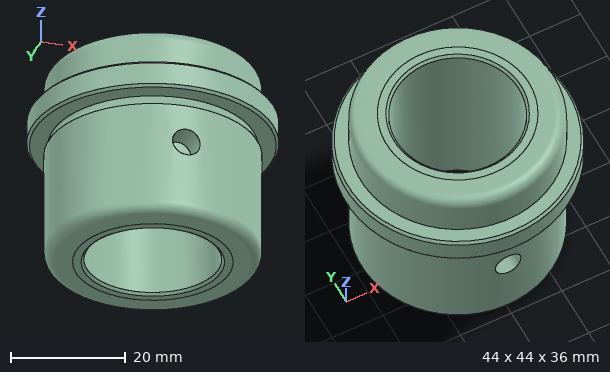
import cadquery as cq

total_height = 36.0
body_radius = 19.0
edge_radius = 2.0
flange_radius = 22.0
flange_bottom = 23.0
flange_thickness = 5.0
flange_top = flange_bottom + flange_thickness
flange_chamfer = 0.5

undercut_height = 1.9
undercut_depth = 0.7
undercut_radius = (undercut_height ** 2 + undercut_depth ** 2) / (2 * undercut_depth)

liner_outer_radius = 14.0
bore_radius = 12.0
bore_chamfer = 0.5

oil_hole_diameter = 5.0
oil_hole_height = 14.0


def make_housing_blank():
    """Revolve the outer profile, with its rounded ends, around Z."""
    corner_offset = edge_radius * (1 - 0.5 ** 0.5)
    end_radius = body_radius - edge_radius
    profile = (
        cq.Workplane("XZ")
        .moveTo(liner_outer_radius, 0)
        .lineTo(end_radius, 0)
        .threePointArc((body_radius - corner_offset, corner_offset), (body_radius, edge_radius))
        .lineTo(body_radius, flange_bottom - undercut_height)
        .radiusArc((body_radius - undercut_depth, flange_bottom), undercut_radius)
        .lineTo(flange_radius - flange_chamfer, flange_bottom)
        .lineTo(flange_radius, flange_bottom + flange_chamfer)
        .lineTo(flange_radius, flange_top - flange_chamfer)
        .lineTo(flange_radius - flange_chamfer, flange_top)
        .lineTo(body_radius, flange_top)
        .lineTo(body_radius, total_height - edge_radius)
        .threePointArc(
            (body_radius - corner_offset, total_height - corner_offset),
            (end_radius, total_height),
        )
        .lineTo(liner_outer_radius, total_height)
        .close()
    )
    return profile.revolve(360, (0, 0, 0), (0, 1, 0))


def make_oil_hole():
    """Cylinder from the axis out through the -Y side of the housing."""
    return (
        cq.Workplane("XZ")
        .center(0, oil_hole_height)
        .circle(oil_hole_diameter / 2)
        .extrude(flange_radius)
    )


def make_housing():
    return make_housing_blank().cut(make_oil_hole())


def make_liner():
    """Full-height bushing with both bore edges chamfered."""
    return (
        cq.Workplane("XY")
        .circle(liner_outer_radius)
        .circle(bore_radius)
        .extrude(total_height)
        .edges(cq.selectors.RadiusNthSelector(0))
        .chamfer(bore_chamfer)
    )


housing = make_housing()
liner = make_liner()

result = cq.Compound.makeCompound([housing.val(), liner.val()])